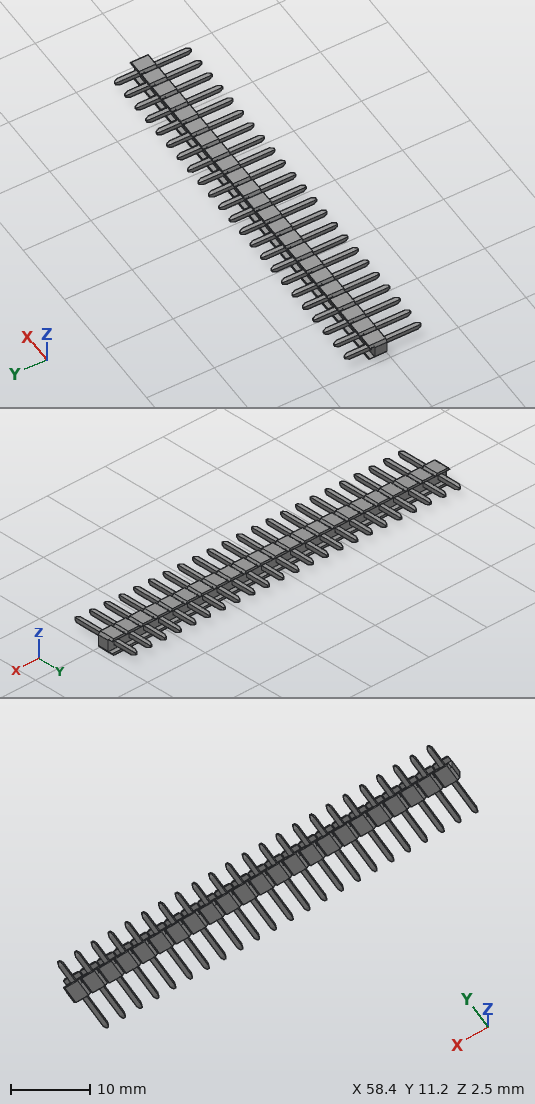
import cadquery as cq


pin_count = 23
row_length = 58.4
pitch = row_length / pin_count
housing_depth = 2.5
housing_height = 2.5
chamfer_x = 0.31
chamfer_z = 0.44

channel_depth = 0.7
lip_thickness = 0.35
channel_height = housing_height - 2 * lip_thickness

pin_length = 11.2
pin_front_reach = 5.65
pin_width = 0.65
pin_tip_width = 0.32
pin_taper = 0.5
pin_shift_x = -0.1

housing_front = -housing_depth / 2
housing_rear = housing_depth / 2
pin_front = housing_front - pin_front_reach
pin_rear = pin_front + pin_length


def block_center_x(index):
    return (index - (pin_count - 1) / 2) * pitch


def make_housing():
    """Extrude the chain of octagonal blocks as one scalloped outline."""
    half_pitch = pitch / 2
    half_height = housing_height / 2
    joint_z = half_height - chamfer_z
    flat_half = half_pitch - chamfer_x

    upper_edge = [(-row_length / 2, joint_z)]
    for index in range(pin_count):
        x = block_center_x(index)
        upper_edge.append((x - flat_half, half_height))
        upper_edge.append((x + flat_half, half_height))
        upper_edge.append((x + half_pitch, joint_z))
    lower_edge = [(x, -z) for x, z in reversed(upper_edge)]

    return (
        cq.Workplane("XZ", origin=(0, housing_rear, 0))
        .polyline(upper_edge + lower_edge)
        .close()
        .extrude(housing_depth)
    )


def make_rear_channel():
    """Full-length cutter that hollows the rear face between the two lips."""
    channel_center_y = housing_rear - channel_depth / 2
    channel_block = cq.Workplane("XY").box(row_length, channel_depth, channel_height)
    return channel_block.translate((0, channel_center_y, 0))


def make_pin():
    """Square pin at X = 0 with a pyramidal taper at each end."""
    shank_front = pin_front + pin_taper
    shank_rear = pin_rear - pin_taper
    pin = (
        cq.Workplane("XZ", origin=(0, shank_rear, 0))
        .rect(pin_width, pin_width)
        .extrude(shank_rear - shank_front)
    )
    for shank_end, tip_offset in ((shank_front, pin_taper), (shank_rear, -pin_taper)):
        tip = (
            cq.Workplane("XZ", origin=(0, shank_end, 0))
            .rect(pin_width, pin_width)
            .workplane(offset=tip_offset)
            .rect(pin_tip_width, pin_tip_width)
            .loft(ruled=True)
        )
        pin = pin.union(tip)
    return pin


result = make_housing().cut(make_rear_channel())
pin = make_pin()
for index in range(pin_count):
    result = result.union(pin.translate((block_center_x(index) + pin_shift_x, 0, 0)))